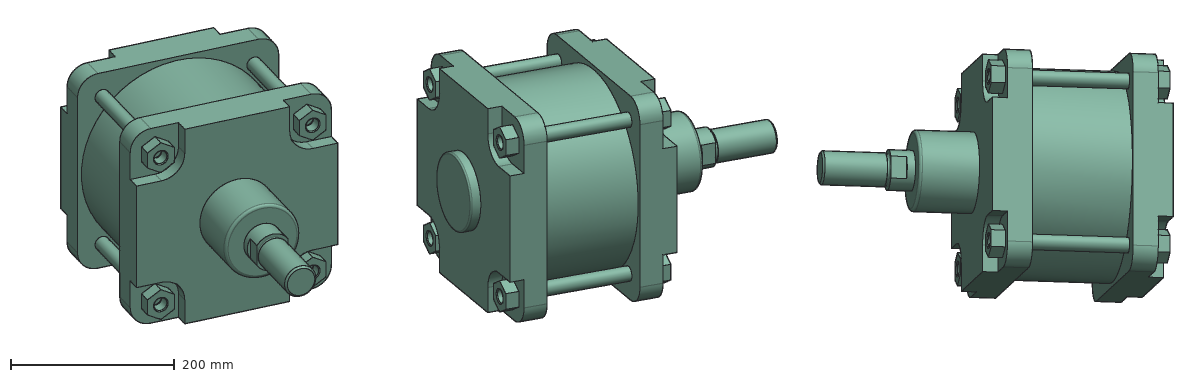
import cadquery as cq
import math

cover_side = 270.0
cover_thickness = 50.0
cover_corner_radius = 27.5
barrel_length = 125.0
barrel_diameter = 260.0

pocket_depth = 19.0
pocket_side = 64.5
pocket_radius = 31.2

boss_diameter = 100.0
rear_boss_length = 13.5
rear_boss_fillet = 2.0
front_boss_length = 75.0
front_boss_fillet = 4.0

tie_rod_offset = 102.0
tie_rod_diameter = 19.3
nut_across_flats = 36.0
nut_thickness = 17.5
nut_bore_diameter = 17.0
nut_bore_chamfer = 1.3

total_length = 428.0
collar_diameter = 50.0
collar_end = 30.0
wrench_flat_start = 10.3
wrench_flat_width = 42.0
groove_length = 4.0
groove_diameter = 38.5
groove_fillet = 1.3
thread_diameter = 42.0
thread_chamfer = 2.5

rear_cover_start = rear_boss_length
barrel_start = rear_cover_start + cover_thickness
front_cover_start = barrel_start + barrel_length
front_cover_end = front_cover_start + cover_thickness
rod_start = front_cover_end + front_boss_length

tie_rod_places = [(y * tie_rod_offset, z * tie_rod_offset) for y in (-1, 1) for z in (-1, 1)]


def axial_workplane(x):
    """Workplane across the cylinder axis: local x is +Y, local y is +Z, extrusion runs along +X."""
    return cq.Workplane("YZ", origin=(x, 0, 0))


def cylinder(x, diameter, length):
    return axial_workplane(x).circle(diameter / 2).extrude(length)


def corner_pockets(x):
    """Four square pockets, overhanging the cover corners, each with its inward edge rounded."""
    return (
        axial_workplane(x)
        .rect(cover_side, cover_side, forConstruction=True)
        .vertices()
        .rect(2 * pocket_side, 2 * pocket_side)
        .extrude(pocket_depth)
        .edges("|X")
        .fillet(pocket_radius)
    )


def cover(x, pocket_x):
    """Square cover with rounded corners, nut pockets and close-fitting tie rod holes."""
    plate = (
        axial_workplane(x)
        .rect(cover_side, cover_side)
        .extrude(cover_thickness)
        .edges("|X")
        .fillet(cover_corner_radius)
    )
    tie_rod_holes = (
        axial_workplane(x).pushPoints(tie_rod_places).circle(tie_rod_diameter / 2).extrude(cover_thickness)
    )
    return plate.cut(corner_pockets(pocket_x)).cut(tie_rod_holes)


def make_rear_cover():
    boss = cylinder(0, boss_diameter, rear_boss_length).faces("<X").fillet(rear_boss_fillet)
    return cover(rear_cover_start, rear_cover_start).union(boss)


def make_front_cover():
    boss = cylinder(front_cover_end, boss_diameter, front_boss_length).faces(">X").fillet(front_boss_fillet)
    return cover(front_cover_start, front_cover_end - pocket_depth).union(boss)


def make_barrel():
    return cylinder(barrel_start, barrel_diameter, barrel_length)


def make_piston_rod():
    """Collar with two wrench flats, a relief groove and the threaded end."""
    groove_start = rod_start + collar_end
    thread_start = groove_start + groove_length

    collar_base = cylinder(rod_start, collar_diameter, wrench_flat_start)
    flats_envelope = cq.Workplane("XY", origin=(rod_start + wrench_flat_start, 0, 0)).box(
        collar_end - wrench_flat_start, wrench_flat_width, collar_diameter, centered=(False, True, True)
    )
    flatted_collar = cylinder(rod_start, collar_diameter, collar_end).intersect(flats_envelope)

    groove = cylinder(groove_start, groove_diameter, groove_length)
    shank = collar_base.union(flatted_collar).union(groove)
    groove_root = cq.selectors.RadiusNthSelector(0)
    shank = shank.edges("%CIRCLE").edges(groove_root).edges("<X").fillet(groove_fillet)

    thread = cylinder(thread_start, thread_diameter, total_length - thread_start)
    thread = thread.faces(">X").chamfer(thread_chamfer)
    return shank.union(thread)


def nut(x, outer_face):
    """Hexagonal nut with a corner along Z; its bore is chamfered at the outer face."""
    across_corners = nut_across_flats / math.cos(math.pi / 6)
    return (
        axial_workplane(x)
        .transformed(rotate=(0, 0, 90))
        .polygon(6, across_corners)
        .circle(nut_bore_diameter / 2)
        .extrude(nut_thickness)
        .faces(outer_face)
        .edges("%CIRCLE")
        .chamfer(nut_bore_chamfer)
    )


def make_tie_rod(y, z):
    """Tie rod reaching between the pocket floors, with a nut on each end."""
    rear_seat = rear_cover_start + pocket_depth
    front_seat = front_cover_end - pocket_depth
    shank = cylinder(rear_seat, tie_rod_diameter, front_seat - rear_seat)
    rear_nut = nut(rear_seat - nut_thickness, "<X")
    front_nut = nut(front_seat, ">X")
    return shank.union(rear_nut).union(front_nut).translate((0, y, z))


rear_cover = make_rear_cover()
front_cover = make_front_cover()
barrel = make_barrel()
piston_rod = make_piston_rod()
tie_rods = [make_tie_rod(y, z) for y, z in tie_rod_places]

result = cq.Compound.makeCompound(
    [rear_cover.val(), front_cover.val(), barrel.val(), piston_rod.val()]
    + [tie_rod.val() for tie_rod in tie_rods]
)